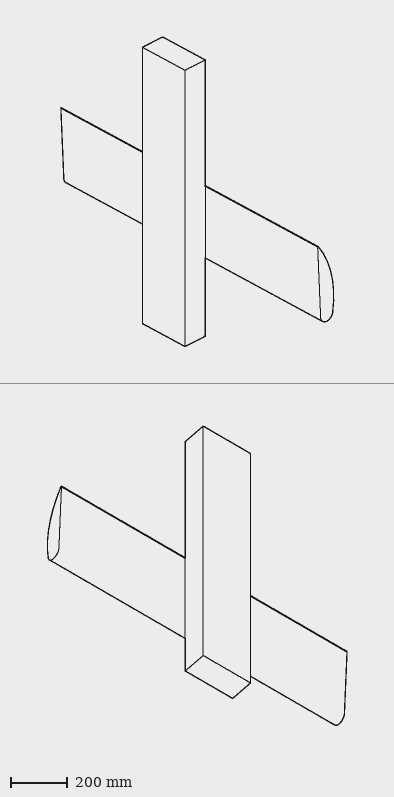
import cadquery as cq
import math

POST_WIDTH = 216.0
POST_DEPTH = 100.0
POST_HEIGHT = 1142.02

OVERALL_DEPTH = 204.74
BLADE_LENGTH = 1300.0
BLADE_TILT = 2.8
TIP_WIDTH = 3.6
FLAT_LENGTH = 298.0
NOSE_RADIUS = 30.0
NOSE_CENTER_Z = -270.0
BACK_RADIUS = 408.0


def make_post():
    return cq.Workplane("XY").box(POST_WIDTH, POST_DEPTH, POST_HEIGHT).translate((0, -POST_DEPTH / 2, 0))


def polar(start, radius, angle):
    """Point at a distance and an angle (from +Y towards +Z) from a start point."""
    return (start[0] + radius * math.cos(angle), start[1] + radius * math.sin(angle))


def make_blade():
    tilt = math.radians(BLADE_TILT)
    nose_center = (0.0, 0.0)
    flat_normal = math.pi + tilt
    flat_start = polar(nose_center, NOSE_RADIUS, flat_normal)
    flat_end = polar(flat_start, FLAT_LENGTH, math.pi / 2 + tilt)
    tip = polar(flat_end, TIP_WIDTH, tilt)

    nose_to_tip = math.hypot(*tip)
    nose_to_back = BACK_RADIUS - NOSE_RADIUS
    corner = math.acos(
        (nose_to_tip**2 + nose_to_back**2 - BACK_RADIUS**2) / (2 * nose_to_tip * nose_to_back)
    )
    back_direction = math.atan2(tip[1], tip[0]) + corner
    back_center = polar(nose_center, nose_to_back, back_direction)

    nose_end_angle = back_direction + math.pi
    nose_end = polar(nose_center, NOSE_RADIUS, nose_end_angle)
    nose_middle = polar(nose_center, NOSE_RADIUS, (flat_normal + nose_end_angle) / 2)

    tip_angle = math.atan2(tip[1] - back_center[1], tip[0] - back_center[0])
    back_end_angle = back_direction - math.pi
    back_middle = polar(back_center, BACK_RADIUS, (tip_angle + back_end_angle) / 2)

    section = (
        cq.Workplane("YZ")
        .moveTo(*tip)
        .lineTo(*flat_end)
        .lineTo(*flat_start)
        .threePointArc(nose_middle, nose_end)
        .threePointArc(back_middle, tip)
        .close()
    )
    crest_y = back_center[0] + BACK_RADIUS
    nose_center_y = OVERALL_DEPTH - POST_DEPTH - crest_y
    return section.extrude(BLADE_LENGTH / 2, both=True).translate((0, nose_center_y, NOSE_CENTER_Z))


post = make_post()
blade = make_blade()

result = cq.Compound.makeCompound([post.val(), blade.val()])